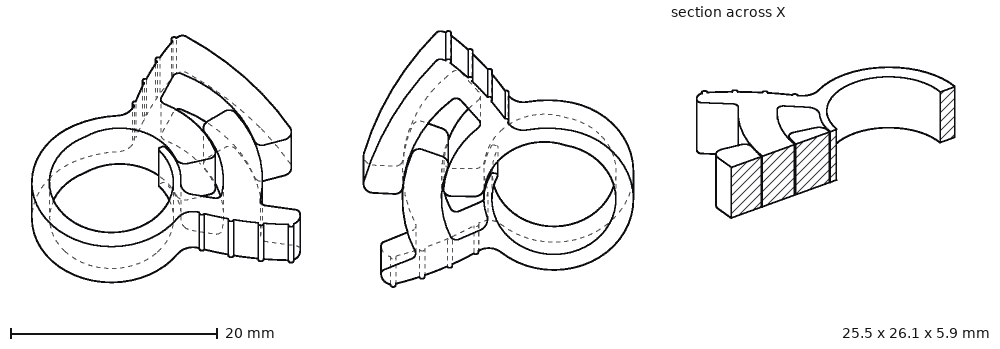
import math

import cadquery as cq

width = 5.9

ring_outer_radius = 7.71
bore_radius = 6.0
ring_outer = (0, 0, ring_outer_radius)
left_flank_radius = 10.4
left_flank = (left_flank_radius - ring_outer_radius, 0, left_flank_radius)
bore = (0, 0, bore_radius)

jaw_offset = 0.2
jaw_height = 1.0
jaw_clearance = 0.09
left_bore_radius = 5.85
lower_jaw_top_radius = 9.77
upper_jaw_bottom_radius = 13.74
left_bore = (-jaw_offset, jaw_height, left_bore_radius)
lower_jaw_top = (-jaw_offset, jaw_height, lower_jaw_top_radius)
upper_jaw_bottom = (-jaw_offset, jaw_height, upper_jaw_bottom_radius)
lip_top = (jaw_offset, jaw_height, left_bore_radius - jaw_clearance)
middle_jaw_bottom = (jaw_offset, jaw_height, lower_jaw_top_radius + jaw_clearance)
middle_jaw_top = (jaw_offset, jaw_height, upper_jaw_bottom_radius - jaw_clearance)
upper_jaw_top = (3.3, -14.2, 32.59)

left_edge = (10.5, 24.87, 25.66)
right_edge = (-10.79, 25.14, 26.23)
rib_radius = 0.27
left_rib_spacing = 2.87
right_rib_spacing = 2.93
ribs_per_arm = 4
left_rib_start_y = 13.3
right_rib_start_y = 13.1

upper_jaw_tip_x = (3.40, 2.73)
middle_jaw_tip_x = (-2.6, -2.02)
lower_jaw_tip_x = (2.03, 1.22)
lip_tip_x = -1.52
left_window_x = (-8.90, -6.43)
right_window_x = (6.65, 4.08)
notch_x = 8.96
left_shoulder_x = -12.55
left_edge_end_x = -12.42
left_neck_x = -6.24
right_neck_x = 6.0

tab_inner_corner = (11.3, 14.54)
tab_crown = (12.39, 13.97)
tab_outer_corner = (12.55, 13.2)

jaw_outer_fillet = 1.0
jaw_inner_fillet = 0.75
window_fillet = 0.6
lip_root_fillet = 1.3
lip_tip_fillet = 0.2
neck_fillet = 1.8
shoulder_fillet = 0.6
tab_fillet = 0.5


def on_circle(circle, x, side=1):
    """Point of the circle at x, on its upper (side=1) or lower (side=-1) half."""
    cx, cy, radius = circle
    return (x, cy + side * math.sqrt(radius**2 - (x - cx) ** 2))


def between(circle, start, end, side=1):
    """Point of the circle halfway in X between two of its points."""
    return on_circle(circle, (start[0] + end[0]) / 2, side)


def left_crossing(first, second):
    """Leftmost point where two circles cross."""
    dx = second[0] - first[0]
    dy = second[1] - first[1]
    distance = math.hypot(dx, dy)
    along = (distance**2 + first[2] ** 2 - second[2] ** 2) / (2 * distance)
    across = math.sqrt(first[2] ** 2 - along**2)
    x = first[0] + (along * dx - across * dy) / distance
    y = first[1] + (along * dy + across * dx) / distance
    return (x, y)


upper_tip_top = on_circle(upper_jaw_top, upper_jaw_tip_x[0])
upper_tip_bottom = on_circle(upper_jaw_bottom, upper_jaw_tip_x[1])
left_window_top = on_circle(upper_jaw_bottom, left_window_x[0])
left_window_bottom = on_circle(lower_jaw_top, left_window_x[1])
lower_tip_top = on_circle(lower_jaw_top, lower_jaw_tip_x[0])
lower_tip_bottom = on_circle(left_bore, lower_jaw_tip_x[1])
bore_join = left_crossing(bore, left_bore)
lip_tip_bottom = on_circle(bore, lip_tip_x)
lip_tip_top = on_circle(lip_top, lip_tip_x)
right_window_bottom = on_circle(lip_top, right_window_x[1])
right_window_top = on_circle(middle_jaw_bottom, right_window_x[0])
middle_tip_bottom = on_circle(middle_jaw_bottom, middle_jaw_tip_x[1])
middle_tip_top = on_circle(middle_jaw_top, middle_jaw_tip_x[0])
notch = on_circle(middle_jaw_top, notch_x)
right_neck = on_circle(ring_outer, right_neck_x)
left_neck = on_circle(left_flank, left_neck_x)
left_edge_end = on_circle(left_edge, left_edge_end_x, -1)
left_shoulder = on_circle(upper_jaw_top, left_shoulder_x)


def clamp_outline():
    """Closed outline of the open ring with both arms, corners still sharp."""
    return (
        cq.Workplane("XY")
        .moveTo(*left_shoulder)
        .threePointArc(between(upper_jaw_top, left_shoulder, upper_tip_top), upper_tip_top)
        .lineTo(*upper_tip_bottom)
        .threePointArc(between(upper_jaw_bottom, upper_tip_bottom, left_window_top), left_window_top)
        .lineTo(*left_window_bottom)
        .threePointArc(between(lower_jaw_top, left_window_bottom, lower_tip_top), lower_tip_top)
        .lineTo(*lower_tip_bottom)
        .threePointArc(between(left_bore, lower_tip_bottom, bore_join), bore_join)
        .threePointArc((0, -bore_radius), (bore_radius, 0))
        .threePointArc(between(bore, (bore_radius, 0), lip_tip_bottom), lip_tip_bottom)
        .lineTo(*lip_tip_top)
        .threePointArc(between(lip_top, lip_tip_top, right_window_bottom), right_window_bottom)
        .lineTo(*right_window_top)
        .threePointArc(between(middle_jaw_bottom, right_window_top, middle_tip_bottom), middle_tip_bottom)
        .lineTo(*middle_tip_top)
        .threePointArc(between(middle_jaw_top, middle_tip_top, notch), notch)
        .lineTo(*tab_inner_corner)
        .threePointArc(tab_crown, tab_outer_corner)
        .threePointArc(between(right_edge, tab_outer_corner, right_neck, -1), right_neck)
        .threePointArc((0, -ring_outer_radius), (-ring_outer_radius, 0))
        .threePointArc(between(left_flank, (-ring_outer_radius, 0), left_neck), left_neck)
        .threePointArc(between(left_edge, left_neck, left_edge_end, -1), left_edge_end)
        .close()
    )


def round_corners(body, corners, radius):
    """Fillet the upright edge at each corner."""
    for x, y in corners:
        nearest = cq.selectors.NearestToPointSelector((x, y, width / 2))
        body = body.edges("|Z").edges(nearest).fillet(radius)
    return body


def add_ribs(body, edge, start_y, spacing, turn):
    """Add half-round grip ribs evenly along an arm's outer edge, from its tip inward.

    turn is the side of the edge's centre the arm lies on: -1 for -X, 1 for +X.
    """
    cx, cy, radius = edge
    start_angle = math.asin((start_y - cy) / radius)
    for index in range(ribs_per_arm):
        angle = start_angle - index * spacing / radius
        x = cx + turn * radius * math.cos(angle)
        y = cy + radius * math.sin(angle)
        rib = cq.Workplane("XY").center(x, y).circle(rib_radius).extrude(width)
        body = body.union(rib)
    return body


clamp = clamp_outline().extrude(width)
clamp = round_corners(clamp, [upper_tip_top, lower_tip_bottom, middle_tip_bottom], jaw_outer_fillet)
clamp = round_corners(
    clamp,
    [upper_tip_bottom, lower_tip_top, middle_tip_top],
    jaw_inner_fillet,
)
clamp = round_corners(
    clamp,
    [left_window_top, left_window_bottom, right_window_top, notch],
    window_fillet,
)
clamp = round_corners(clamp, [right_window_bottom], lip_root_fillet)
clamp = round_corners(clamp, [lip_tip_top, lip_tip_bottom], lip_tip_fillet)
clamp = round_corners(clamp, [left_neck, right_neck], neck_fillet)
clamp = round_corners(clamp, [left_shoulder], shoulder_fillet)
clamp = round_corners(clamp, [tab_inner_corner], tab_fillet)
clamp = add_ribs(clamp, left_edge, left_rib_start_y, left_rib_spacing, -1)
result = add_ribs(clamp, right_edge, right_rib_start_y, right_rib_spacing, 1)